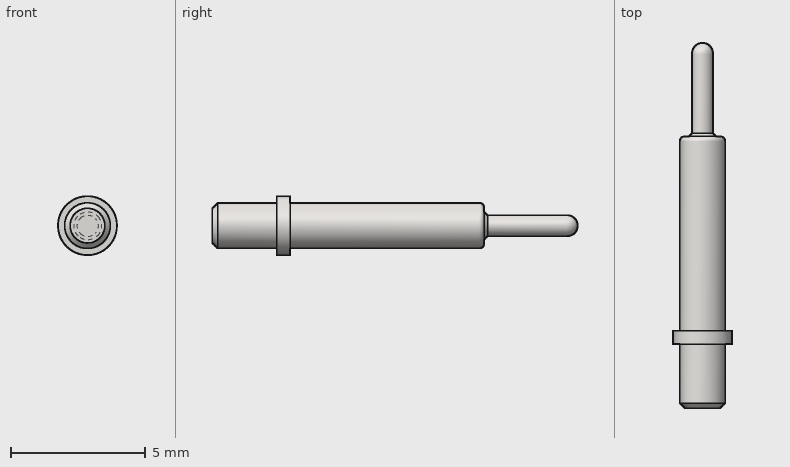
import cadquery as cq
import math

total_length = 13.6
body_diameter = 1.7
body_radius = body_diameter / 2
flange_radius = 1.1
pin_radius = 0.4

flange_start = 2.4
flange_width = 0.5
body_length = 10.12

end_chamfer = 0.2
shoulder_round = 0.18
collar_height = 0.12

flange_end = flange_start + flange_width
collar_end = body_length + collar_height
collar_radius = pin_radius + collar_height
dome_start = total_length - pin_radius
y_start = -total_length / 2

half_arc = math.sqrt(0.5)
round_center_radius = body_radius - shoulder_round
round_center_station = body_length - shoulder_round
round_middle = (
    round_center_radius + shoulder_round * half_arc,
    round_center_station + shoulder_round * half_arc,
)
dome_middle = (pin_radius * half_arc, dome_start + pin_radius * half_arc)

half_outline = (
    cq.Workplane("XY")
    .moveTo(0, 0)
    .lineTo(body_radius - end_chamfer, 0)
    .lineTo(body_radius, end_chamfer)
    .lineTo(body_radius, flange_start)
    .lineTo(flange_radius, flange_start)
    .lineTo(flange_radius, flange_end)
    .lineTo(body_radius, flange_end)
    .lineTo(body_radius, round_center_station)
    .threePointArc(round_middle, (round_center_radius, body_length))
    .lineTo(collar_radius, body_length)
    .lineTo(pin_radius, collar_end)
    .lineTo(pin_radius, dome_start)
    .threePointArc(dome_middle, (0, total_length))
    .close()
)

result = half_outline.revolve(360, (0, 0, 0), (0, 1, 0)).translate((0, y_start, 0))